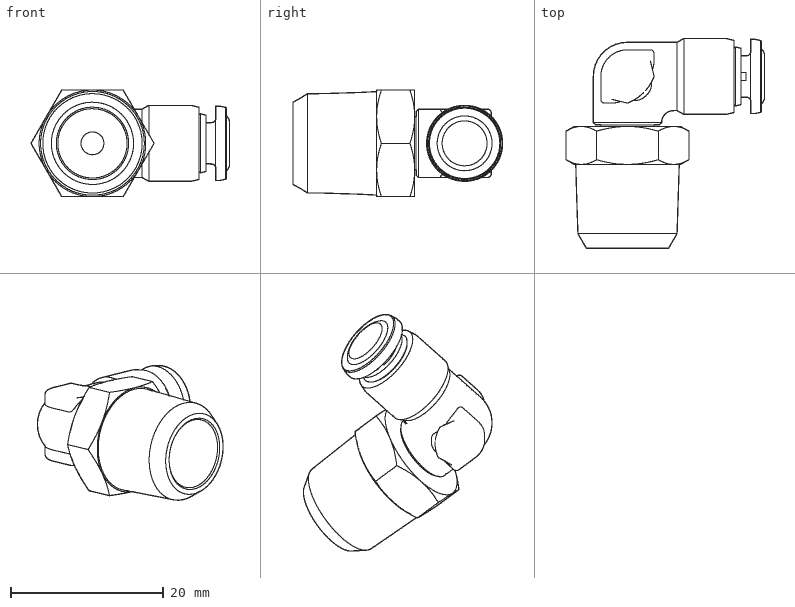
import cadquery as cq
import math

diagonal = math.sqrt(0.5)

arm_radius = 4.5
arm_end_chamfer = 0.3
arm_length = 6.35
crotch_fillet = 1.5

pad_half_width = 3.5
pad_edge_fillet = 0.5

neck_radius = 3.5
hex_start = 6.55
hex_length = 5.0
hex_across_flats = 14.0
hex_chamfer_angle = 30.0

thread_length = 11.0
thread_start_radius = 6.81
thread_taper_ratio = 16
thread_tip_length = 1.93
thread_tip_radius = 5.4

bore_radius = 4.55
bore_mouth_chamfer = 0.2
bore_floor_radius = 1.5
bore_floor_angle = 30.0
bore_depth = thread_length

socket_radius = 5.0
shoulder_start = 6.5
shoulder_end = 7.4
socket_taper_start = 12.95
socket_end = 14.0
socket_end_radius = 4.75

ring_crest = 14.15
ring_end = 14.93
ring_start_radius = 3.75
ring_crest_radius = 3.9
ring_end_radius = 3.7
collet_neck_radius = 2.75
flange_start = 16.17
flange_root_fillet = 0.5
flange_radius = 4.9
flange_taper_start = 16.67
flange_taper_end = 17.43
flange_taper_end_radius = 4.74
flange_end = 17.6
flange_end_radius = 4.62
nose_start_radius = 3.6
nose_end_radius = 2.95
nose_round = 1.5
collet_end = 18.0
slot_length = 0.6
slot_width = 1.0

hex_end = hex_start + hex_length
thread_end = hex_end + thread_length


def turned_about_y(points):
    """Solid of revolution about Y from (radius, distance toward -Y) points."""
    profile = [(radius, -distance) for radius, distance in points]
    return cq.Workplane("XY").polyline(profile).close().revolve(360, (0, 0, 0), (0, 1, 0))


def make_elbow():
    """Two arms with a spherical corner, corner pads and a blended inner crotch."""
    arm_y = turned_about_y([
        (0, 0),
        (arm_radius, 0),
        (arm_radius, arm_length - arm_end_chamfer),
        (arm_radius - arm_end_chamfer, arm_length),
        (0, arm_length),
    ])
    arm_x = cq.Workplane("YZ").circle(arm_radius).extrude(shoulder_start)
    corner = cq.Workplane("XY").sphere(arm_radius)
    elbow = arm_y.union(arm_x).union(corner).union(make_pads())
    inner_reach = arm_radius * diagonal
    outer_reach = arm_radius + crotch_fillet
    crotch = cq.selectors.BoxSelector(
        (inner_reach, -outer_reach, -arm_radius),
        (outer_reach, -inner_reach, arm_radius),
    )
    return elbow.edges(crotch).fillet(crotch_fillet)


def make_pads():
    """Prism through the corner, with two opposite corners rounded about the origin."""
    w = pad_half_width
    d = w * diagonal
    prism = (
        cq.Workplane("XY")
        .workplane(offset=-arm_radius)
        .moveTo(-w, 0)
        .threePointArc((-d, d), (0, w))
        .lineTo(w, w)
        .lineTo(w, 0)
        .threePointArc((d, -d), (0, -w))
        .lineTo(-w, -w)
        .close()
        .extrude(2 * arm_radius)
    )
    square_corners = "|Z and (>(1, 1, 0) or <(1, 1, 0))"
    prism = prism.edges(square_corners).fillet(pad_edge_fillet)
    prism = prism.faces("<Z or >Z").edges().fillet(pad_edge_fillet)
    return prism.union(make_pad_land())


def make_pad_land():
    """Widened flats where the pad rounding runs out against the tangent arms."""
    w = pad_half_width
    rounding_edge = w - pad_edge_fillet
    runout_start = math.sqrt(arm_radius**2 - (arm_radius - pad_edge_fillet) ** 2)
    d = rounding_edge * diagonal
    return (
        cq.Workplane("XY")
        .workplane(offset=-arm_radius)
        .moveTo(rounding_edge, runout_start)
        .lineTo(w, 0)
        .threePointArc((d, -d), (0, -w))
        .lineTo(-runout_start, -rounding_edge)
        .close()
        .extrude(2 * arm_radius)
    )


def make_hexagon():
    """Hexagon with both ends chamfered down to the circle across the flats."""
    flat_radius = hex_across_flats / 2
    corner_radius = flat_radius / math.cos(math.pi / 6)
    chamfer_depth = (corner_radius - flat_radius) * math.tan(math.radians(hex_chamfer_angle))
    prism = (
        cq.Workplane("XZ", origin=(0, -hex_start, 0))
        .polygon(6, 2 * corner_radius)
        .extrude(hex_length)
    )
    envelope = turned_about_y([
        (0, hex_start),
        (flat_radius, hex_start),
        (corner_radius, hex_start + chamfer_depth),
        (corner_radius, hex_end - chamfer_depth),
        (flat_radius, hex_end),
        (0, hex_end),
    ])
    return prism.intersect(envelope)


def make_neck():
    """Short swivel neck between the elbow and the hexagon."""
    return turned_about_y([
        (0, 0),
        (neck_radius, 0),
        (neck_radius, hex_start),
        (0, hex_start),
    ])


def make_thread():
    """Plain taper of the thread with a coned tip."""
    tip_start = thread_end - thread_tip_length
    tip_start_radius = thread_start_radius - (tip_start - hex_end) / thread_taper_ratio / 2
    return turned_about_y([
        (0, hex_end),
        (thread_start_radius, hex_end),
        (tip_start_radius, tip_start),
        (thread_tip_radius, thread_end),
        (0, thread_end),
    ])


def make_bore():
    """Blind bore with a chamfered mouth and a coned, flat-bottomed floor."""
    cone_start = thread_end - bore_depth
    cone_length = (bore_radius - bore_floor_radius) * math.tan(math.radians(bore_floor_angle))
    cone_end = cone_start - cone_length
    return turned_about_y([
        (0, thread_end),
        (bore_radius + bore_mouth_chamfer, thread_end),
        (bore_radius, thread_end - bore_mouth_chamfer),
        (bore_radius, cone_start),
        (bore_floor_radius, cone_end),
        (0, cone_end),
    ])


def make_socket_and_collet():
    """Tube socket and release collet, turned about X."""
    fillet_start = flange_start - flange_root_fillet
    fillet_top = collet_neck_radius + flange_root_fillet
    fillet_middle = (
        fillet_start + flange_root_fillet * diagonal,
        fillet_top - flange_root_fillet * diagonal,
    )
    profile = (
        cq.Workplane("XY")
        .moveTo(shoulder_start, 0)
        .lineTo(shoulder_start, arm_radius)
        .lineTo(shoulder_end, socket_radius)
        .lineTo(socket_taper_start, socket_radius)
        .lineTo(socket_end, socket_end_radius)
        .lineTo(socket_end, ring_start_radius)
        .lineTo(ring_crest, ring_crest_radius)
        .lineTo(ring_end, ring_end_radius)
        .lineTo(ring_end, collet_neck_radius)
        .lineTo(fillet_start, collet_neck_radius)
        .threePointArc(fillet_middle, (flange_start, fillet_top))
        .lineTo(flange_start, flange_radius)
        .lineTo(flange_taper_start, flange_radius)
        .lineTo(flange_taper_end, flange_taper_end_radius)
        .lineTo(flange_end, flange_end_radius)
        .lineTo(flange_end, nose_start_radius)
        .radiusArc((collet_end, nose_end_radius), nose_round)
        .lineTo(collet_end, 0)
        .close()
    )
    return profile.revolve(360, (0, 0, 0), (1, 0, 0))


def make_collet_slot():
    """Slot through the collet neck, along Z."""
    return cq.Workplane("XY").box(
        slot_length, slot_width, 2 * socket_radius, centered=(False, True, True)
    ).translate((ring_end, 0, 0))


result = (
    make_elbow()
    .union(make_neck())
    .union(make_hexagon())
    .union(make_thread())
    .union(make_socket_and_collet())
    .cut(make_bore())
    .cut(make_collet_slot())
)